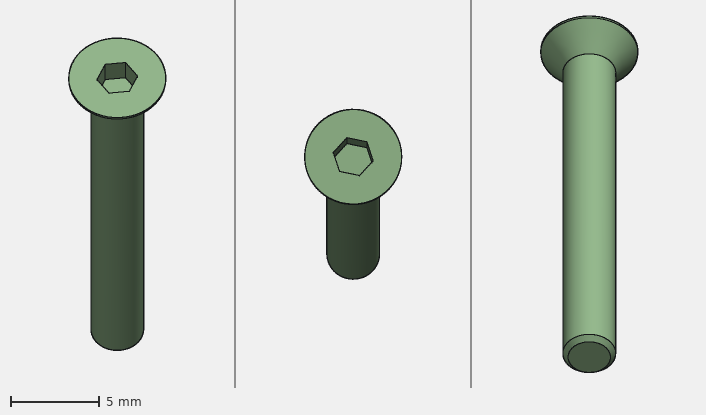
import cadquery as cq
import math

total_length = 25.0
shank_diameter = 3.0
head_diameter = 5.5
head_height = 1.8
head_rim_height = 0.15
tip_chamfer = 0.3
socket_across_flats = 2.0
socket_depth = 1.5

shank_radius = shank_diameter / 2
head_radius = head_diameter / 2
tip_radius = shank_radius - tip_chamfer


def screw_body():
    """Revolve the half outline of the head, shank and chamfered tip."""
    return (
        cq.Workplane("XZ")
        .moveTo(0, 0)
        .lineTo(head_radius, 0)
        .lineTo(head_radius, -head_rim_height)
        .lineTo(shank_radius, -head_height)
        .lineTo(shank_radius, -total_length + tip_chamfer)
        .lineTo(tip_radius, -total_length)
        .lineTo(0, -total_length)
        .close()
        .revolve(360, (0, 0, 0), (0, 1, 0))
    )


def hex_socket():
    """Hexagonal prism with two corners on the Y axis."""
    across_corners = socket_across_flats / math.cos(math.radians(30))
    return (
        cq.Workplane("XY")
        .polygon(6, across_corners)
        .extrude(-socket_depth)
        .rotate((0, 0, 0), (0, 0, 1), 90)
    )


result = screw_body().cut(hex_socket())